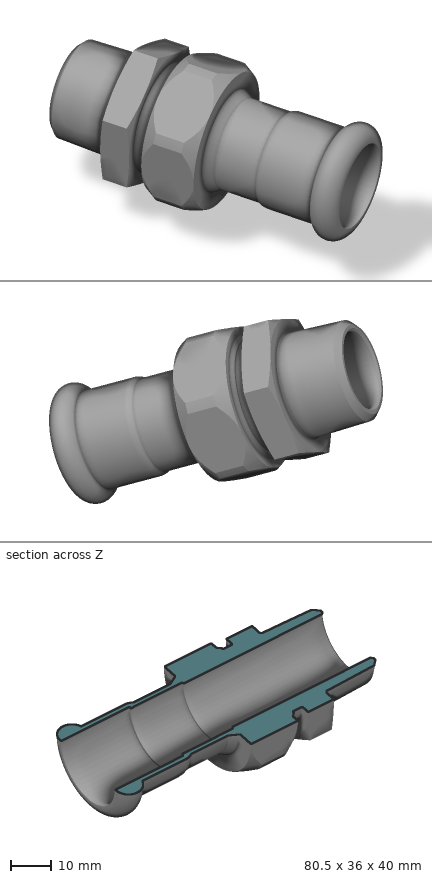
import cadquery as cq
import math


thread_tip_radius = 22.9 / 2
thread_front_radius = 13.0
thread_back_radius = 26.9 / 2
thread_chamfer = 1.5
thread_end = 16.6
relief_radius = 27.5 / 2

tail_hex_start = 17.0
tail_hex_end = 25.0
tail_hex_flats = 34.0
tail_hex_chamfer = 0.685
collar_radius = 29 / 2

nut_lip_start = 27.9
nut_lip_tip_radius = 30.0 / 2
nut_lip_radius = 15.9
nut_start = 28.9
nut_end = 43.5
nut_flats = 36.0
nut_corner_diameter = 40.0
nut_chamfer = 3.4

cone_start_radius = 27.0 / 2
cone_end = 46.1
tube_radius = 24.0 / 2
socket_step_start = 57.55
socket_radius = 25.4 / 2
socket_step_end = 59.4
overall_length = 80.5
bead_radius = 7.5 / 2
bead_outer_radius = 30.8 / 2

tail_bore_radius = 20.0 / 2
mouth_radius = 21.0 / 2
mouth_chamfer = mouth_radius - tail_bore_radius
tube_bore_radius = 21.0 / 2
socket_bore_radius = 22.3 / 2

bead_centre_x = overall_length - bead_radius
bead_centre_radius = bead_outer_radius - bead_radius

step_length = socket_step_end - socket_step_start
step_height = socket_radius - tube_radius
step_arc_radius = (step_length**2 + step_height**2) / (2 * step_height)


def revolve_about_x(profile):
    """Turn a closed (x, radius) outline about the X axis."""
    return profile.close().revolve(360, (0, 0, 0), (1, 0, 0))


def cylinder(start, end, radius):
    return cq.Workplane("YZ").workplane(offset=start).circle(radius).extrude(end - start)


def chamfered_hexagon(start, end, flats, corner_diameter, chamfer):
    """Hexagon with corners along Z, whose ends are coned down to the flats."""
    across_corners = flats / math.cos(math.pi / 6)
    prism = (
        cq.Workplane("YZ")
        .workplane(offset=start)
        .transformed(rotate=(0, 0, 90))
        .polygon(6, across_corners)
        .extrude(end - start)
    )
    envelope = revolve_about_x(
        cq.Workplane("XY")
        .moveTo(start, 0)
        .lineTo(start, flats / 2)
        .lineTo(start + chamfer, corner_diameter / 2)
        .lineTo(end - chamfer, corner_diameter / 2)
        .lineTo(end, flats / 2)
        .lineTo(end, 0)
    )
    return prism.intersect(envelope)


def tail_piece():
    """Tapered thread, relief and collar with the hexagon on them."""
    turned = revolve_about_x(
        cq.Workplane("XY")
        .lineTo(0, thread_tip_radius)
        .lineTo(thread_chamfer, thread_front_radius)
        .lineTo(thread_end, thread_back_radius)
        .lineTo(tail_hex_start, relief_radius)
        .lineTo(tail_hex_start, collar_radius)
        .lineTo(nut_start, collar_radius)
        .lineTo(nut_start, 0)
    )
    across_corners = tail_hex_flats / math.cos(math.pi / 6)
    hexagon = chamfered_hexagon(
        tail_hex_start, tail_hex_end, tail_hex_flats, across_corners, tail_hex_chamfer
    )
    return turned.union(hexagon)


def union_nut():
    lip = revolve_about_x(
        cq.Workplane("XY")
        .moveTo(nut_lip_start, 0)
        .lineTo(nut_lip_start, nut_lip_tip_radius)
        .lineTo(nut_start, nut_lip_radius)
        .lineTo(nut_start, 0)
    )
    hexagon = chamfered_hexagon(nut_start, nut_end, nut_flats, nut_corner_diameter, nut_chamfer)
    return hexagon.union(lip)


def press_end():
    """Cone, tube and press socket that ends in a rounded bead."""
    turned = revolve_about_x(
        cq.Workplane("XY")
        .moveTo(nut_end, 0)
        .lineTo(nut_end, cone_start_radius)
        .lineTo(cone_end, tube_radius)
        .lineTo(socket_step_start, tube_radius)
        .radiusArc((socket_step_end, socket_radius), step_arc_radius)
        .lineTo(bead_centre_x, socket_radius)
        .lineTo(bead_centre_x, 0)
    )
    bead = revolve_about_x(
        cq.Workplane("XY")
        .moveTo(bead_centre_x - bead_radius, 0)
        .lineTo(bead_centre_x - bead_radius, bead_centre_radius)
        .threePointArc((bead_centre_x, bead_outer_radius), (overall_length, bead_centre_radius))
        .lineTo(overall_length, 0)
    )
    return turned.union(bead)


def bores():
    """Through bore, coned at the thread mouth and stepped wider towards the socket."""
    tail_bore = cylinder(0, overall_length, tail_bore_radius)
    mouth = revolve_about_x(
        cq.Workplane("XY")
        .lineTo(0, mouth_radius)
        .lineTo(mouth_chamfer, tail_bore_radius)
        .lineTo(mouth_chamfer, 0)
    )
    tube_bore = cylinder(nut_end, overall_length, tube_bore_radius)
    socket_bore = cylinder(socket_step_end, overall_length, socket_bore_radius)
    return tail_bore.union(mouth).union(tube_bore).union(socket_bore)


result = tail_piece().union(union_nut()).union(press_end()).cut(bores())